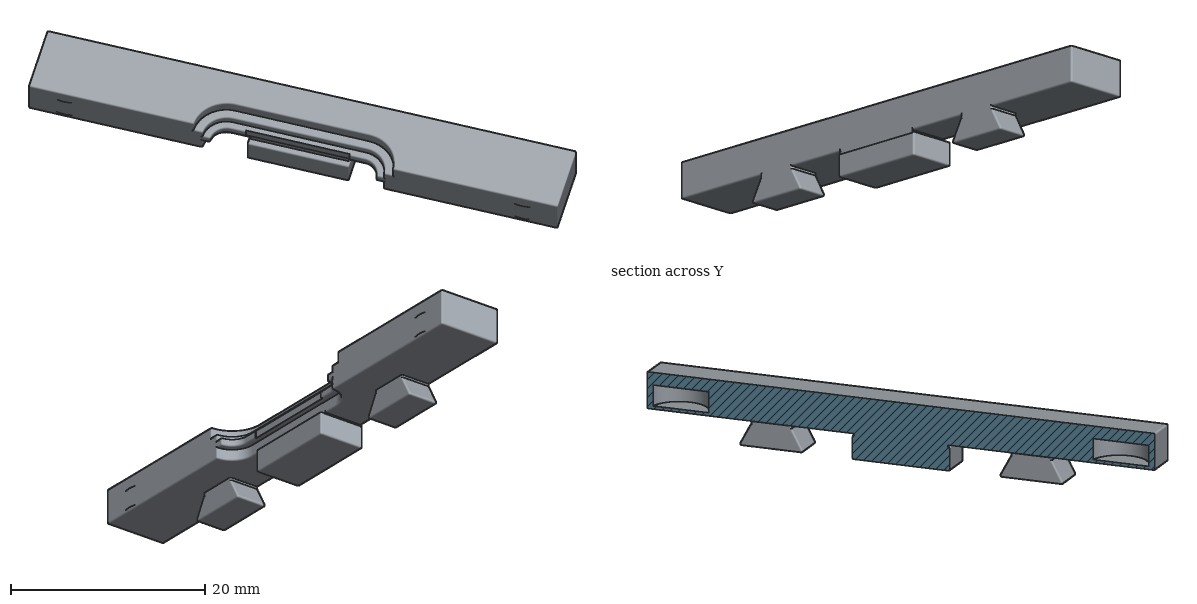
import cadquery as cq

bar_length = 56.6
bar_width = 7.3
bar_height = 4.0
foot_height = 2.8
edge_radius = 0.2
front_y = -bar_width / 2
back_y = bar_width / 2

recess_straight = 14.25
upper_radius = 3.5
lower_radius = 2.55
lip_radius = 1.75
upper_floor = bar_height - 1.2
lip_top = bar_height - 1.9
lip_bottom = bar_height - 2.8
lip_flat_length = 11.1
lip_flat_depth = 1.9

cavity_diameter = 6.2
cavity_offset = 24.5
cavity_bottom = 0.4
cavity_height = 2.2
cavity_wall = 0.01

foot_overlap = 0.55
block_length = 10.85
block_width = 5.45
block_neck_height = 0.15
dovetail_offset = 14.5
dovetail_neck_height = 0.3
dovetail_width = 3.6
dovetail_top_length = 4.5
dovetail_bottom_length = 7.25


def box(length, y_min, y_max, z_min, z_max):
    """Box centred on X between the given Y and Z limits."""
    return (
        cq.Workplane("XY")
        .box(length, y_max - y_min, z_max - z_min, centered=(True, False, False))
        .translate((0, y_min, z_min))
    )


def recess(radius, z_min, z_max):
    """Slot along the front face with round ends."""
    return (
        cq.Workplane("XY", origin=(0, front_y, z_min))
        .slot2D(recess_straight + 2 * radius, 2 * radius)
        .extrude(z_max - z_min)
    )


def is_convex(edge, solid):
    """True where the material around the middle of the edge fills a single quadrant."""
    probe = 0.005
    middle = edge.positionAt(0.5)
    tangent = edge.tangentAt(0.5)
    upright = abs(tangent.z) > 0.5
    side = tangent.cross(cq.Vector(1, 0, 0) if upright else cq.Vector(0, 0, 1)).normalized()
    other_side = tangent.cross(side)
    quadrants = [
        middle + side * (i * probe) + other_side * (j * probe)
        for i in (-1, 1)
        for j in (-1, 1)
    ]
    return sum(solid.isInside(point) for point in quadrants) == 1


def round_outer_edges(body):
    """Round every convex edge of the body."""
    solid = body.val()
    edges = [edge for edge in solid.Edges() if is_convex(edge, solid)]
    return cq.Workplane(solid.fillet(edge_radius, edges))


def bar():
    body = box(bar_length, front_y, back_y, 0, bar_height)
    body = body.cut(recess(upper_radius, upper_floor, bar_height))
    body = body.cut(recess(lower_radius, lip_top, upper_floor))
    body = body.cut(recess(lip_radius, lip_bottom, lip_top))
    body = body.cut(recess(lower_radius, 0, lip_bottom))
    body = round_outer_edges(body)
    lip_flat_y = front_y + lip_flat_depth
    return body.cut(box(lip_flat_length, front_y, lip_flat_y, 0, bar_height))


def round_cavities():
    cavity_y = front_y + cavity_diameter / 2 + cavity_wall
    return (
        cq.Workplane("XY", origin=(0, cavity_y, cavity_bottom))
        .pushPoints([(-cavity_offset, 0), (cavity_offset, 0)])
        .circle(cavity_diameter / 2)
        .extrude(cavity_height)
    )


def block_foot():
    """Centre block; its neck carries the recess wall down to the block top."""
    block = box(block_length, back_y - block_width, back_y, -foot_height, -block_neck_height)
    neck_length = block_length - 2 * edge_radius
    neck = box(neck_length, front_y + lower_radius, back_y, -2 * block_neck_height, foot_overlap)
    return round_outer_edges(block).union(neck)


def dovetail_foot(x):
    """Foot that widens downwards below a short straight neck; its rounded top sits inside the bar."""
    half_top = dovetail_top_length / 2
    half_bottom = dovetail_bottom_length / 2
    body = (
        cq.Workplane("XZ", origin=(x, back_y, 0))
        .polyline([
            (-half_bottom, -foot_height),
            (half_bottom, -foot_height),
            (half_top, -dovetail_neck_height),
            (half_top, foot_overlap),
            (-half_top, foot_overlap),
            (-half_top, -dovetail_neck_height),
        ])
        .close()
        .extrude(dovetail_width)
    )
    return round_outer_edges(body)


result = bar().cut(round_cavities()).union(block_foot())
for side in (-1, 1):
    result = result.union(dovetail_foot(side * dovetail_offset))